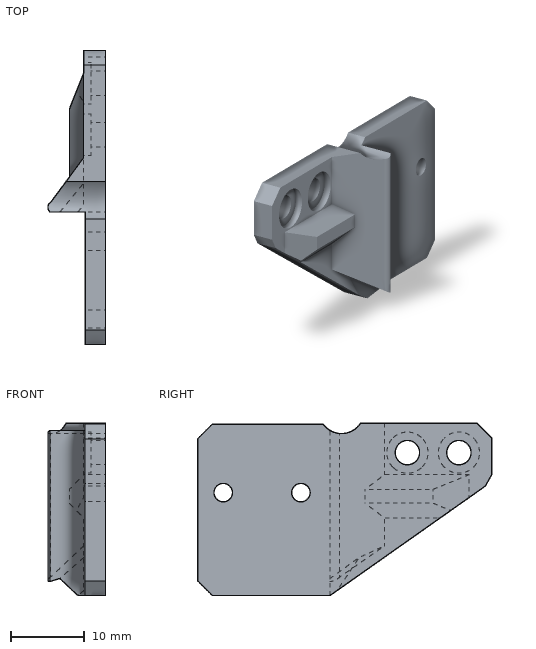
import cadquery as cq
import math

LENGTH = 40.0
HEIGHT = 23.45
DEPTH = 7.9

PAD_LENGTH = 18.0
PAD_HEIGHT = 23.3
PAD_THICKNESS = 2.8
CORNER_CUT = 2.0
PAD_HOLE_DIAMETER = 2.5
PAD_HOLE_HEIGHT = 14.0
PAD_HOLE_PLACES = (3.5, 14.05)

ARM_THICKNESS = 3.0
ARM_END_BOTTOM = 16.45
ARM_SLOPE_END = (39.1, 14.9)
ARM_HOLE_DIAMETER = 3.3
COUNTERBORE_DIAMETER = 5.6
COUNTERBORE_DEPTH = 1.0
ARM_HOLE_HEIGHT = 19.45
ARM_HOLE_PLACES = (28.5, 35.5)

WEDGE_ROOT = 25.4
WEDGE_ANGLE = math.radians(53.5)
TIP_ARC_START_Y = 19.3
TIP_ARC_MIDDLE_Y = 18.7
TIP_ARC_END = (-7.75, 18.25)
TIP_FRONT_X = -7.6

RIDGE_X = -6.25
RIDGE_HEIGHT = 2.3
OUTER_SLOPES = (0.32, 0.46)
INNER_SLOPES = (-0.95, 1.5)

RIB_HEIGHT = 1.95
RIB_BOTTOM = 10.55
RIB_TOP = 16.45
RIB_FLANK = 2.0
RIB_END = 36.9
RIB_CREST_END = 32.0

NOTCH_RADIUS = 3.1
NOTCH_CENTER = (19.55, 25.1)


def prism_along_x(points, depth):
    """Extrude a (Y, Z) outline from the back face towards -X."""
    return cq.Workplane("YZ").polyline(points).close().extrude(-depth)


def cylinders_along_x(diameter, places, height, depth, start=0.0):
    centers = [(y, height) for y in places]
    return cq.Workplane("YZ", origin=(start, 0, 0)).pushPoints(centers).circle(diameter / 2).extrude(depth)


def arm_outline():
    return [
        (PAD_LENGTH, 0),
        ARM_SLOPE_END,
        (LENGTH, ARM_END_BOTTOM),
        (LENGTH, HEIGHT - CORNER_CUT),
        (LENGTH - CORNER_CUT, HEIGHT),
        (PAD_LENGTH, HEIGHT),
    ]


def make_pad():
    outline = [
        (PAD_LENGTH, 0),
        (CORNER_CUT, 0),
        (0, CORNER_CUT),
        (0, PAD_HEIGHT - CORNER_CUT),
        (CORNER_CUT, PAD_HEIGHT),
        (PAD_LENGTH, PAD_HEIGHT),
    ]
    return prism_along_x(outline, PAD_THICKNESS)


def undercut_cutter():
    """Space below both undercut planes, in front of the arm and beyond the pad face."""
    def below_plane(slopes):
        slope_x, slope_y = slopes

        def plane_height(x, y):
            return RIDGE_HEIGHT + slope_x * (x - RIDGE_X) + slope_y * (y - PAD_LENGTH)

        near_x, far_x = -ARM_THICKNESS, -2 * DEPTH
        near_y, far_y = PAD_LENGTH, LENGTH
        floor = -HEIGHT
        plan = [(near_x, near_y), (near_x, far_y), (far_x, far_y), (far_x, near_y)]
        top = [cq.Vector(x, y, plane_height(x, y)) for x, y in plan]
        bottom = [cq.Vector(x, y, floor) for x, y in plan]
        rings = [top, bottom]
        for i in range(len(plan)):
            j = (i + 1) % len(plan)
            rings.append([top[i], top[j], bottom[j], bottom[i]])
        faces = [cq.Face.makeFromWires(cq.Wire.makePolygon(ring, close=True)) for ring in rings]
        return cq.Workplane(cq.Solid.makeSolid(cq.Shell.makeShell(faces)))

    return below_plane(OUTER_SLOPES).intersect(below_plane(INNER_SLOPES))


def make_wedge():
    arc_start_x = -ARM_THICKNESS - (WEDGE_ROOT - TIP_ARC_START_Y) / math.tan(WEDGE_ANGLE)
    wedge = (
        cq.Workplane("XY")
        .moveTo(0, PAD_LENGTH)
        .lineTo(0, WEDGE_ROOT)
        .lineTo(-ARM_THICKNESS, WEDGE_ROOT)
        .lineTo(arc_start_x, TIP_ARC_START_Y)
        .threePointArc((-DEPTH, TIP_ARC_MIDDLE_Y), TIP_ARC_END)
        .lineTo(TIP_FRONT_X, PAD_LENGTH)
        .close()
        .extrude(HEIGHT)
    )
    return wedge.cut(undercut_cutter())


def make_rib():
    crest_x = -ARM_THICKNESS - RIB_HEIGHT
    section = [
        (0, RIB_BOTTOM),
        (-ARM_THICKNESS, RIB_BOTTOM),
        (crest_x, RIB_BOTTOM + RIB_FLANK),
        (crest_x, RIB_TOP - RIB_FLANK),
        (-ARM_THICKNESS, RIB_TOP),
        (0, RIB_TOP),
    ]
    bar = cq.Workplane("XZ").polyline(section).close().extrude(-LENGTH)
    crest_start = WEDGE_ROOT - RIB_HEIGHT * math.tan(WEDGE_ANGLE)
    side = [
        (0, crest_start),
        (0, RIB_END),
        (-ARM_THICKNESS, RIB_END),
        (crest_x, RIB_CREST_END),
        (crest_x, crest_start),
    ]
    return bar.intersect(cq.Workplane("XY").polyline(side).close().extrude(HEIGHT))


arm = prism_along_x(arm_outline(), ARM_THICKNESS)
fins = make_wedge().union(make_rib()).intersect(prism_along_x(arm_outline(), 2 * DEPTH))
body = make_pad().union(arm).union(fins)

notch = cq.Workplane("YZ").center(*NOTCH_CENTER).circle(NOTCH_RADIUS).extrude(-2 * DEPTH)
pad_holes = cylinders_along_x(PAD_HOLE_DIAMETER, PAD_HOLE_PLACES, PAD_HOLE_HEIGHT, -PAD_THICKNESS)
arm_holes = cylinders_along_x(ARM_HOLE_DIAMETER, ARM_HOLE_PLACES, ARM_HOLE_HEIGHT, -ARM_THICKNESS)
counterbores = cylinders_along_x(
    COUNTERBORE_DIAMETER, ARM_HOLE_PLACES, ARM_HOLE_HEIGHT, COUNTERBORE_DEPTH, -ARM_THICKNESS
)
result = body.cut(notch).cut(pad_holes).cut(arm_holes).cut(counterbores)